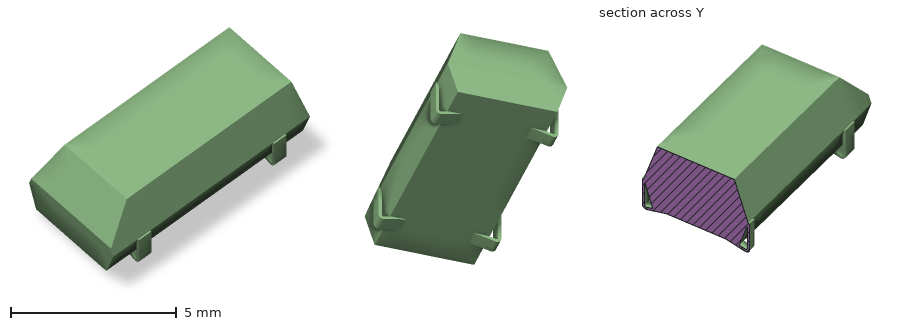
import cadquery as cq
import math

body_length = 8
body_height = 2.5
belt_height = 1.0
bottom_width = 3.17
belt_width = 3.8
top_width = 2.8
front_bevel_length = 1.0
front_bevel_base = 1.3
back_slope_length = 0.3

lead_span = 3.9
lead_width = 0.5
lead_thickness = 0.1
lead_end_margin = 1.0
outer_bend_radius = 0.15
inner_bend_radius = outer_bend_radius - lead_thickness
foot_angle = math.radians(13.2)
foot_end_x = 1.08


def make_body():
    """Intersect the hexagonal cross-section with the lengthwise side profile."""
    half_section = [
        (bottom_width / 2, 0),
        (belt_width / 2, belt_height),
        (top_width / 2, body_height),
    ]
    mirrored = [(-x, z) for x, z in reversed(half_section)]
    section = (
        cq.Workplane("XZ")
        .polyline(half_section + mirrored)
        .close()
        .extrude(body_length / 2, both=True)
    )
    front = -body_length / 2
    back = body_length / 2
    side_profile = (
        cq.Workplane("YZ")
        .moveTo(front, 0)
        .lineTo(back, 0)
        .lineTo(back, belt_height)
        .lineTo(back - back_slope_length, body_height)
        .lineTo(front + front_bevel_length, body_height)
        .lineTo(front, front_bevel_base)
        .close()
        .extrude(belt_width / 2, both=True)
    )
    return section.intersect(side_profile)


def make_lead():
    """One +X lead, centred on Y = 0, with its foot rising into the body bottom."""
    outer_x = lead_span / 2
    inner_x = outer_x - lead_thickness
    foot_slope = math.tan(foot_angle)
    foot_rise = lead_thickness / math.cos(foot_angle)
    outer_corner_z = -(outer_x - foot_end_x) * foot_slope
    inner_corner_z = -(inner_x - foot_end_x) * foot_slope + foot_rise
    strip = (
        cq.Workplane("XZ")
        .moveTo(outer_x, belt_height)
        .lineTo(outer_x, outer_corner_z)
        .lineTo(foot_end_x, 0)
        .lineTo(foot_end_x, foot_rise)
        .lineTo(inner_x, inner_corner_z)
        .lineTo(inner_x, belt_height)
        .close()
        .extrude(lead_width / 2, both=True)
    )
    outer_bend = cq.selectors.NearestToPointSelector((outer_x, 0, outer_corner_z))
    inner_bend = cq.selectors.NearestToPointSelector((inner_x, 0, inner_corner_z))
    strip = strip.edges("|Y").edges(outer_bend).fillet(outer_bend_radius)
    return strip.edges("|Y").edges(inner_bend).fillet(inner_bend_radius)


result = make_body()
right_lead = make_lead()
left_lead = right_lead.mirror("YZ")
lead_y = body_length / 2 - lead_end_margin - lead_width / 2
for y in (-lead_y, lead_y):
    for lead in (left_lead, right_lead):
        result = result.union(lead.translate((0, y, 0)))